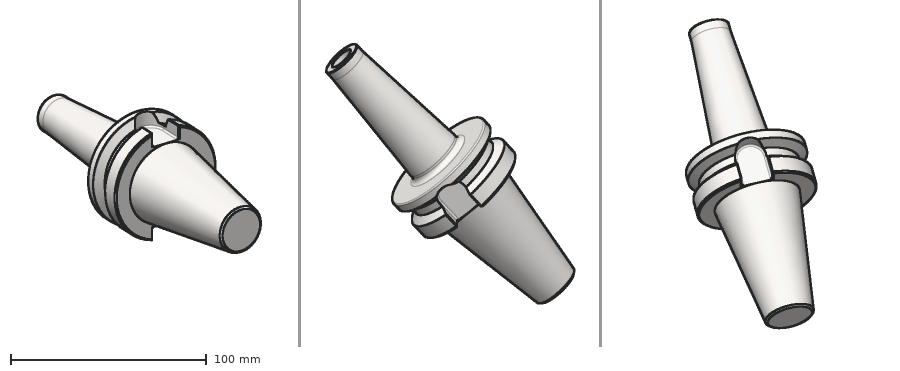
import cadquery as cq
import math

TOTAL_LENGTH = 167.4
TAPER_LENGTH = 65.4
FACE_GAP = 2.0
FLANGE_WIDTH = 25.0
NOSE_LENGTH = 5.0
NECK_END = 70.7

GAUGE_X = TOTAL_LENGTH - TAPER_LENGTH
FLANGE_BACK = GAUGE_X - FACE_GAP
FLANGE_FRONT = FLANGE_BACK - FLANGE_WIDTH

NOSE_RADIUS = 21.0 / 2
NECK_RADIUS = 30.6 / 2
FLANGE_RADIUS = 63.0 / 2
GAUGE_RADIUS = 44.45 / 2
TAPER_SLOPE = 7 / 24 / 2

TAPER_START_RADIUS = GAUGE_RADIUS + FACE_GAP * TAPER_SLOPE
TAPER_END_RADIUS = GAUGE_RADIUS - TAPER_LENGTH * TAPER_SLOPE

FRONT_RIM_FILLET = 0.8
REAR_RIM_CHAMFER = 0.8
TAIL_CHAMFER = 1.0
ROOT_FILLET = 3.0
NOSE_CHAMFER = 0.3
BORE_CHAMFER = 0.2
GROOVE_CHAMFER = 0.4
SLOT_EDGE_CHAMFER = 0.4

GROOVE_TO_GAUGE = 16.6
GROOVE_CENTRE = GAUGE_X - GROOVE_TO_GAUGE
GROOVE_FLOOR_RADIUS = 53.0 / 2
GROOVE_FLOOR_WIDTH = 4.7
GROOVE_HALF_ANGLE = math.radians(30)

SLOT_WIDTH = 16.1
SLOT_LENGTH = 21.8
SLOT_FLOOR_HEIGHT = 22.6
SLOT_FLOOR_FILLET = 1.0
SLOT_REAR_CHAMFER = 0.8

BORE_DIAMETER = 12.5
BORE_DEPTH = 6.0


def revolve_profile(profile):
    """Close a profile drawn in the XY plane and spin it about the X axis."""
    return profile.close().revolve(360, (0, 0, 0), (1, 0, 0))


def make_body():
    """Nose, conical neck, flange and 7:24 taper as one revolved solid."""
    fillet_start = FLANGE_FRONT - ROOT_FILLET
    fillet_mid = ROOT_FILLET * math.sqrt(0.5)
    rim_inset = FRONT_RIM_FILLET * (1 - math.sqrt(0.5))
    profile = (
        cq.Workplane("XY")
        .moveTo(0, 0)
        .lineTo(0, NOSE_RADIUS - NOSE_CHAMFER)
        .lineTo(NOSE_CHAMFER, NOSE_RADIUS)
        .lineTo(NOSE_LENGTH, NOSE_RADIUS)
        .lineTo(NECK_END, NECK_RADIUS)
        .lineTo(fillet_start, NECK_RADIUS)
        .threePointArc(
            (fillet_start + fillet_mid, NECK_RADIUS + ROOT_FILLET - fillet_mid),
            (FLANGE_FRONT, NECK_RADIUS + ROOT_FILLET),
        )
        .lineTo(FLANGE_FRONT, FLANGE_RADIUS - FRONT_RIM_FILLET)
        .threePointArc(
            (FLANGE_FRONT + rim_inset, FLANGE_RADIUS - rim_inset),
            (FLANGE_FRONT + FRONT_RIM_FILLET, FLANGE_RADIUS),
        )
        .lineTo(FLANGE_BACK - REAR_RIM_CHAMFER, FLANGE_RADIUS)
        .lineTo(FLANGE_BACK, FLANGE_RADIUS - REAR_RIM_CHAMFER)
        .lineTo(FLANGE_BACK, TAPER_START_RADIUS)
        .lineTo(TOTAL_LENGTH - TAIL_CHAMFER, TAPER_END_RADIUS + TAIL_CHAMFER * TAPER_SLOPE)
        .lineTo(TOTAL_LENGTH, TAPER_END_RADIUS - TAIL_CHAMFER)
        .lineTo(TOTAL_LENGTH, 0)
    )
    return revolve_profile(profile)


def make_groove():
    """Ring of material removed to form the gripper groove."""
    break_radius = FLANGE_RADIUS - GROOVE_CHAMFER
    depth = break_radius - GROOVE_FLOOR_RADIUS
    floor_half = GROOVE_FLOOR_WIDTH / 2
    break_half = floor_half + depth * math.tan(GROOVE_HALF_ANGLE)
    rim_half = break_half + GROOVE_CHAMFER
    profile = (
        cq.Workplane("XY")
        .moveTo(GROOVE_CENTRE - floor_half, GROOVE_FLOOR_RADIUS)
        .lineTo(GROOVE_CENTRE + floor_half, GROOVE_FLOOR_RADIUS)
        .lineTo(GROOVE_CENTRE + break_half, break_radius)
        .lineTo(GROOVE_CENTRE + rim_half, FLANGE_RADIUS)
        .lineTo(GROOVE_CENTRE - rim_half, FLANGE_RADIUS)
        .lineTo(GROOVE_CENTRE - break_half, break_radius)
    )
    return revolve_profile(profile)


def make_slot():
    """Cutter for the +Z drive slot: round front end, open rear, filleted floor.

    The side walls flare out at 45 degrees where they reach the rear face.
    """
    half_width = SLOT_WIDTH / 2
    front = FLANGE_BACK - SLOT_LENGTH
    flare_start = FLANGE_BACK - SLOT_REAR_CHAMFER
    overrun = 2 * SLOT_REAR_CHAMFER
    flare_end = FLANGE_BACK + overrun
    flare_half_width = half_width + flare_end - flare_start
    return (
        cq.Workplane("XY", origin=(0, 0, SLOT_FLOOR_HEIGHT))
        .moveTo(flare_end, -flare_half_width)
        .lineTo(flare_start, -half_width)
        .lineTo(front + half_width, -half_width)
        .threePointArc((front, 0), (front + half_width, half_width))
        .lineTo(flare_start, half_width)
        .lineTo(flare_end, flare_half_width)
        .close()
        .extrude(FLANGE_RADIUS - SLOT_FLOOR_HEIGHT)
        .faces("<Z")
        .edges()
        .fillet(SLOT_FLOOR_FILLET)
    )


def break_slot_edges(body):
    """Chamfer the long outer edges of both slots on the rear half of the flange."""
    half_width = SLOT_WIDTH / 2
    edge_height = math.sqrt(FLANGE_RADIUS**2 - half_width**2)
    reach = GROOVE_CHAMFER / 2
    edge_zone = cq.selectors.BoxSelector(
        (GROOVE_CENTRE, -half_width - reach, -edge_height - reach),
        (FLANGE_BACK, half_width + reach, edge_height + reach),
    )
    long_edges = cq.selectors.ParallelDirSelector(cq.Vector(1, 0, 0))
    floor_zone = cq.selectors.BoxSelector(
        (0, -FLANGE_RADIUS, -GROOVE_FLOOR_RADIUS),
        (TOTAL_LENGTH, FLANGE_RADIUS, GROOVE_FLOOR_RADIUS),
    )
    return body.edges((edge_zone & long_edges) - floor_zone).chamfer(SLOT_EDGE_CHAMFER)


def make_bore():
    """Blind tool bore entering from the nose face, with a chamfered mouth."""
    radius = BORE_DIAMETER / 2
    profile = (
        cq.Workplane("XY")
        .moveTo(0, 0)
        .lineTo(0, radius + BORE_CHAMFER)
        .lineTo(BORE_CHAMFER, radius)
        .lineTo(BORE_DEPTH, radius)
        .lineTo(BORE_DEPTH, 0)
    )
    return revolve_profile(profile)


result = make_body().cut(make_groove()).cut(make_bore())
slot = make_slot()
for angle in (0, 180):
    result = result.cut(slot.rotate((0, 0, 0), (1, 0, 0), angle))
result = break_slot_edges(result)